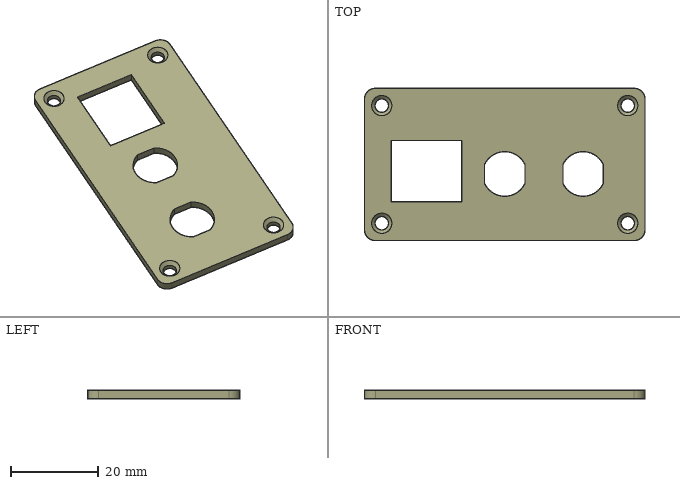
import cadquery as cq

LENGTH = 64.5
WIDTH = 35.0
THICKNESS = 2.0
CORNER_RADIUS = 2.5

SCREW_EDGE_DISTANCE = 4.0
SCREW_DIAMETER = 3.0
COUNTERSINK_DIAMETER = 4.65
COUNTERSINK_ANGLE = 90.0

OPENING_PITCH = 18.0

WINDOW_LENGTH = 16.1
WINDOW_WIDTH = 14.0
WINDOW_Y = -1.55

ROUND_DIAMETER = 10.2
ROUND_FLAT_WIDTH = 9.2
ROUND_Y = -2.2


def make_plate():
    """Flat plate with rounded corners, resting on Z = 0."""
    plate = cq.Workplane("XY").box(LENGTH, WIDTH, THICKNESS, centered=(True, True, False))
    return plate.edges("|Z").fillet(CORNER_RADIUS)


def cut_screw_holes(plate):
    """Drill and countersink the corner holes from the top face."""
    spacing_x = LENGTH - 2 * SCREW_EDGE_DISTANCE
    spacing_y = WIDTH - 2 * SCREW_EDGE_DISTANCE
    return (
        plate.faces(">Z")
        .workplane(origin=(0, 0, THICKNESS))
        .rarray(spacing_x, spacing_y, 2, 2)
        .cskHole(SCREW_DIAMETER, COUNTERSINK_DIAMETER, COUNTERSINK_ANGLE)
    )


def make_window_cutter():
    """Rectangular block through the full thickness."""
    return (
        cq.Workplane("XY")
        .center(-OPENING_PITCH, WINDOW_Y)
        .rect(WINDOW_LENGTH, WINDOW_WIDTH)
        .extrude(THICKNESS)
    )


def make_round_cutter(x):
    """Cylinder trimmed by a flat on its left and right sides."""
    base = cq.Workplane("XY").center(x, ROUND_Y)
    cylinder = base.circle(ROUND_DIAMETER / 2).extrude(THICKNESS)
    flats = base.rect(ROUND_FLAT_WIDTH, ROUND_DIAMETER).extrude(THICKNESS)
    return cylinder.intersect(flats)


result = cut_screw_holes(make_plate())
result = result.cut(make_window_cutter())
for round_x in (0, OPENING_PITCH):
    result = result.cut(make_round_cutter(round_x))